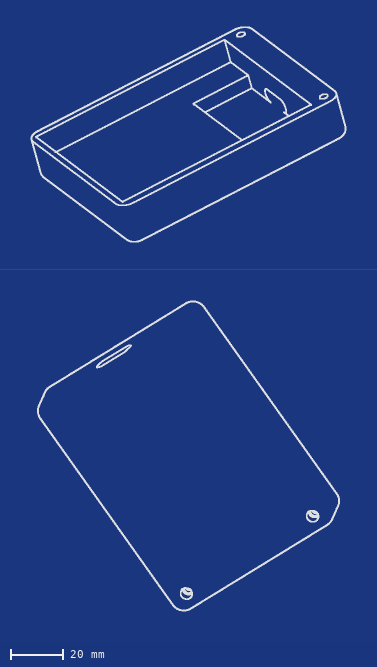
import cadquery as cq

tilt_angle = 15
width = 75.0
length = 100.0
height = 18.5
corner_radius = 5.0
bottom_fillet = 3.0

left_wall = 3.0
right_wall = 4.0
front_wall = 2.5
back_wall = 11.4
cavity_depth = 10.5
cavity_width = width - left_wall - right_wall
cavity_length = length - front_wall - back_wall
cavity_back = length - back_wall
cavity_floor = height - cavity_depth

pocket_center_x = 36.9
pocket_width = 40.1
pocket_length = 25.1
pocket_depth = 6.0
pocket_floor = cavity_floor - pocket_depth

slot_height = pocket_depth
slot_width = 16.0

hole_diameter = 3.2
rim_hole_inset = 5.0
rim_hole_depth = 10.1
floor_hole_inset = 4.0
counterbore_diameter = 4.5
counterbore_depth = 5.0


def box_at(x, y, z, size_x, size_y, size_z):
    """Box with its minimum corner at (x, y, z)."""
    return cq.Workplane("XY").box(size_x, size_y, size_z, centered=False).translate((x, y, z))


def hole(x, y, z, diameter, depth):
    """Upright cylinder rising from (x, y, z)."""
    return cq.Workplane("XY").circle(diameter / 2).extrude(depth).translate((x, y, z))


body = box_at(0, 0, 0, width, length, height)
body = body.edges("|Z").fillet(corner_radius)
body = body.faces("<Z").edges().fillet(bottom_fillet)

body = body.cut(box_at(left_wall, front_wall, cavity_floor, cavity_width, cavity_length, cavity_depth))
pocket_left = pocket_center_x - pocket_width / 2
pocket_front = cavity_back - pocket_length
body = body.cut(box_at(pocket_left, pocket_front, pocket_floor, pocket_width, pocket_length, pocket_depth))

slot = (
    cq.Workplane("XZ", origin=(pocket_center_x, length, pocket_floor + slot_height / 2))
    .slot2D(slot_width, slot_height)
    .extrude(back_wall)
)
body = body.cut(slot)

for x in (rim_hole_inset, width - rim_hole_inset):
    body = body.cut(hole(x, length - rim_hole_inset, height - rim_hole_depth, hole_diameter, rim_hole_depth))

floor_hole_y = front_wall + floor_hole_inset
for x in (left_wall + floor_hole_inset, width - right_wall - floor_hole_inset):
    body = body.cut(hole(x, floor_hole_y, 0, hole_diameter, cavity_floor))
    body = body.cut(hole(x, floor_hole_y, 0, counterbore_diameter, counterbore_depth))

result = body.rotate((0, 0, 0), (1, 0, 0), tilt_angle)